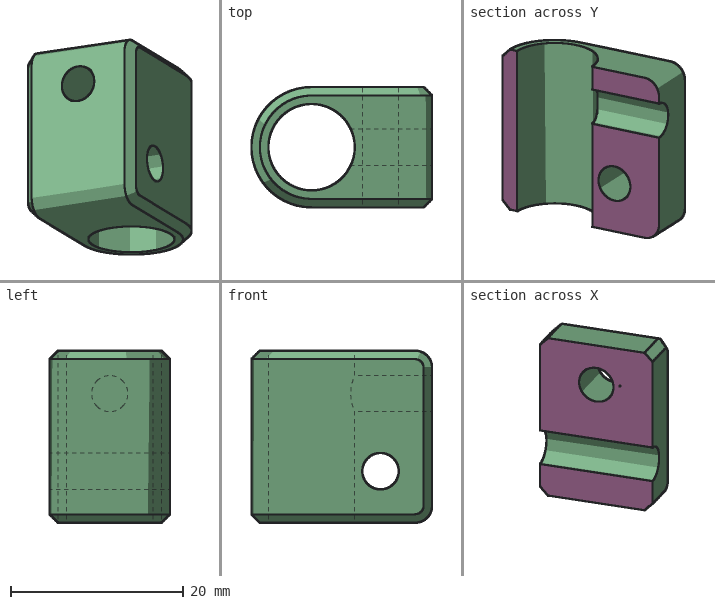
import cadquery as cq

width = 14.0
length = 21.0
height = 20.0
round_radius = width / 2
block_length = length - round_radius

end_fillet = 2.0
edge_chamfer = 1.0

bore_diameter = 10.0

hole_diameter = 4.2
cross_hole_x = 8.0
cross_hole_z = 6.0
end_hole_z = 15.0


def make_body():
    """U-shaped block with rounded +X end edges and a chamfer around both sides."""
    body = (
        cq.Workplane("XY")
        .moveTo(block_length, -round_radius)
        .lineTo(0, -round_radius)
        .threePointArc((-round_radius, 0), (0, round_radius))
        .lineTo(block_length, round_radius)
        .close()
        .extrude(height)
    )
    body = body.faces(">X").edges("|Y").fillet(end_fillet)
    return body.faces(">Y").edges(">X").chamfer(edge_chamfer)


def make_bore():
    """Vertical through bore."""
    return cq.Workplane("XY").circle(bore_diameter / 2).extrude(height)


def make_cross_hole():
    """Hole through the block along Y."""
    return (
        cq.Workplane("XZ")
        .center(cross_hole_x, cross_hole_z)
        .circle(hole_diameter / 2)
        .extrude(width / 2, both=True)
    )


def make_end_hole():
    """Hole along X from the bore out through the +X face."""
    return (
        cq.Workplane("YZ")
        .center(0, end_hole_z)
        .circle(hole_diameter / 2)
        .extrude(block_length)
    )


result = make_body().cut(make_bore()).cut(make_cross_hole()).cut(make_end_hole())